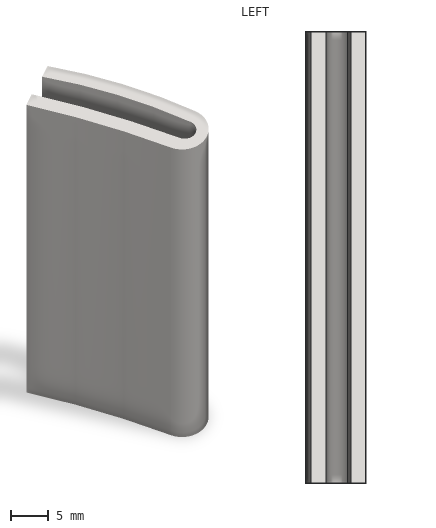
import cadquery as cq

width = 24.3
depth = 8.0
height = 60.0

leg_thickness = 2.0
lower_leg_rise = 0.5
lower_bend_start_x = 20.6
lower_bend_start_y = 0.1

upper_leg_start_x = 0.2
upper_leg_rise = 0.7
upper_bend_start_y = 7.15
upper_bend_start_x = 21.35

bend_wall = 1.6
inner_bend_start_x = 21.1
inner_bend_lower_y = 2.1
inner_bend_upper_y = 5.2

lower_crown_x = lower_bend_start_x / 2
upper_crown_x = (upper_leg_start_x + upper_bend_start_x) / 2
upper_end_outer_y = depth - upper_leg_rise
upper_end_inner_y = upper_end_outer_y - leg_thickness
bend_mid_y = (lower_bend_start_y + upper_bend_start_y) / 2
inner_bend_mid_y = (inner_bend_lower_y + inner_bend_upper_y) / 2

profile = (
    cq.Workplane("XY")
    .moveTo(0, 0)
    .threePointArc((lower_crown_x, lower_leg_rise), (lower_bend_start_x, lower_bend_start_y))
    .threePointArc((width, bend_mid_y), (upper_bend_start_x, upper_bend_start_y))
    .threePointArc((upper_crown_x, depth), (upper_leg_start_x, upper_end_outer_y))
    .lineTo(upper_leg_start_x, upper_end_inner_y)
    .threePointArc((upper_crown_x, depth - leg_thickness), (inner_bend_start_x, inner_bend_upper_y))
    .threePointArc((width - bend_wall, inner_bend_mid_y), (inner_bend_start_x, inner_bend_lower_y))
    .threePointArc((lower_crown_x, lower_leg_rise + leg_thickness), (0, leg_thickness))
    .close()
)

result = profile.extrude(height)